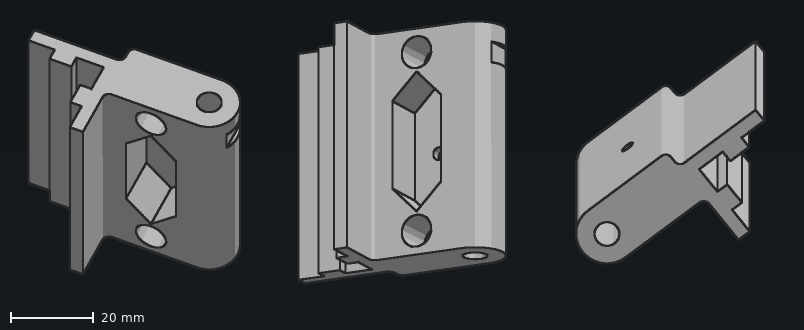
import cadquery as cq

height = 57.0
total_length = 55.2
total_depth = 28.25

flange_thickness = 3.5
inner_corner = 20.0
outer_corner = inner_corner + flange_thickness

rib_start = 7.0
rib_width = 5.8
rib_height = 3.0

arm_width = 15.0
arm_end_radius = arm_width / 2
arm_front = total_depth - arm_width
pin_x = total_length - arm_end_radius
pin_y = total_depth - arm_end_radius
pin_diameter = 6.0
corner_radius = 1.65

pocket_x = 35.6
pocket_width = 13.2
pocket_straight = 22.0
pocket_length = pocket_straight + pocket_width
pocket_depth = 12.0
screw_diameter = 3.2

blind_diameter = 8.0
blind_depth = 12.0
blind_spacing = 45.0

notch_depth = 1.1
notch_bottom = 47.0
notch_height = 5.2


def make_block(x_start, x_end, y_start, y_end):
    """Full-height block between the given X and Y limits."""
    return cq.Workplane("XY").box(
        x_end - x_start, y_end - y_start, height, centered=False
    ).translate((x_start, y_start, 0))


def make_arm():
    """Hinge arm with its rounded end, starting at the flange corner."""
    return (
        cq.Workplane("XY")
        .moveTo(inner_corner, arm_front)
        .lineTo(pin_x, arm_front)
        .threePointArc((total_length, pin_y), (pin_x, total_depth))
        .lineTo(outer_corner, total_depth)
        .lineTo(outer_corner, outer_corner)
        .lineTo(inner_corner, outer_corner)
        .close()
        .extrude(height)
    )


def make_body():
    """Arm, flanges and ribs, with the three arm corners rounded."""
    rib_end = rib_start + rib_width
    rib_face = inner_corner - rib_height
    body = make_arm()
    body = body.union(make_block(0, outer_corner, inner_corner, outer_corner))
    body = body.union(make_block(inner_corner, outer_corner, 0, outer_corner))
    body = body.union(make_block(rib_start, rib_end, rib_face, inner_corner))
    body = body.union(make_block(rib_face, inner_corner, rib_start, rib_end))
    body = body.clean()
    for corner_y in (arm_front, outer_corner, total_depth):
        edge_point = (outer_corner, corner_y, height / 2)
        body = body.edges(cq.selectors.NearestToPointSelector(edge_point)).fillet(corner_radius)
    return body


def arm_face_plane():
    """Sketch plane on the arm's front face, centred on the pocket; its normal points to -Y."""
    return cq.Workplane("XZ", origin=(pocket_x, arm_front, height / 2))


def make_pocket():
    """Elongated hexagonal pocket sunk into the arm's front face."""
    half_width = pocket_width / 2
    half_straight = pocket_straight / 2
    half_length = pocket_length / 2
    return (
        arm_face_plane()
        .polyline([
            (0, half_length),
            (half_width, half_straight),
            (half_width, -half_straight),
            (0, -half_length),
            (-half_width, -half_straight),
            (-half_width, half_straight),
        ])
        .close()
        .extrude(-pocket_depth)
    )


def make_arm_holes():
    """Screw hole through the arm and the two blind holes beside it."""
    screw_hole = arm_face_plane().circle(screw_diameter / 2).extrude(-arm_width)
    blind_holes = (
        arm_face_plane()
        .pushPoints([(0, -blind_spacing / 2), (0, blind_spacing / 2)])
        .circle(blind_diameter / 2)
        .extrude(-blind_depth)
    )
    return screw_hole.union(blind_holes)


def make_pin_hole():
    """Hinge pin hole along the full height."""
    return cq.Workplane("XY").center(pin_x, pin_y).circle(pin_diameter / 2).extrude(height)


def make_notch():
    """Shallow flat-bottomed notch across the rounded end."""
    return cq.Workplane("XY").box(notch_depth, arm_width, notch_height, centered=False).translate(
        (total_length - notch_depth, arm_front, notch_bottom)
    )


result = (
    make_body()
    .cut(make_pocket())
    .cut(make_arm_holes())
    .cut(make_pin_hole())
    .cut(make_notch())
)